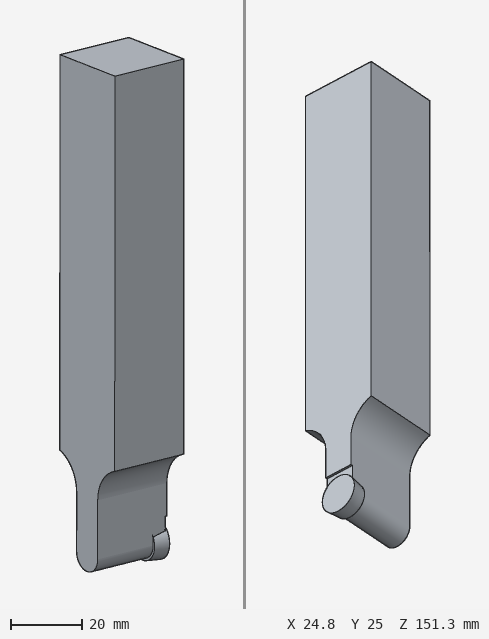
import cadquery as cq
import math

total_length = 151.3
shank_width = 24.8
shank_top_depth = shank_width
tip_depth = 25.0
rake_y = tip_depth / 2
bottom_z = -total_length / 2
top_z = total_length / 2

neck_width = 9.5
neck_half = neck_width / 2
shoulder_radius = 11.2
neck_straight_top_z = bottom_z + 23.6
shoulder_run = (shank_width - neck_width) / 2

insert_radius = 6.0
insert_thickness = 5.0
clearance_angle = 7.0
insert_center_z = bottom_z + insert_radius
insert_seat_radius = insert_radius - insert_thickness * math.tan(math.radians(clearance_angle))

tip_setback = 1.4
tip_z = bottom_z + tip_setback
tip_center_z = tip_z + neck_half

relief_depth = 0.6
relief_height = 13.9


def make_insert():
    """Tapered disc with its large face flush with the rake face."""
    profile = [
        (0, 0),
        (insert_radius, 0),
        (insert_seat_radius, -insert_thickness),
        (0, -insert_thickness),
    ]
    disc = cq.Workplane("XY").polyline(profile).close().revolve(360, (0, 0, 0), (0, 1, 0))
    return disc.translate((0, rake_y, insert_center_z))


def make_holder_blank():
    """Square shank running through concave shoulders into a round-ended neck."""
    half_width = shank_width / 2
    sweep = math.acos(1 - shoulder_run / shoulder_radius)
    shoulder_top_z = neck_straight_top_z + shoulder_radius * math.sin(sweep)
    shoulder_mid_x = neck_half + shoulder_radius * (1 - math.cos(sweep / 2))
    shoulder_mid_z = neck_straight_top_z + shoulder_radius * math.sin(sweep / 2)
    return (
        cq.Workplane("XZ")
        .moveTo(-half_width, top_z)
        .lineTo(half_width, top_z)
        .lineTo(half_width, shoulder_top_z)
        .threePointArc((shoulder_mid_x, shoulder_mid_z), (neck_half, neck_straight_top_z))
        .lineTo(neck_half, tip_center_z)
        .threePointArc((0, tip_z), (-neck_half, tip_center_z))
        .lineTo(-neck_half, neck_straight_top_z)
        .threePointArc((-shoulder_mid_x, shoulder_mid_z), (-half_width, shoulder_top_z))
        .close()
        .extrude(tip_depth / 2, both=True)
    )


def make_relief():
    """Cutter for the step across the neck, on the rake face."""
    return (
        cq.Workplane("XY")
        .box(shank_width, relief_depth, relief_height, centered=(True, False, False))
        .translate((0, rake_y - relief_depth, bottom_z))
    )


def make_back_taper():
    """Thin wedge that brings the -Y face in slightly toward the top of the shank."""
    back_y = -tip_depth / 2
    wedge = [
        (back_y, tip_z),
        (back_y, top_z),
        (rake_y - shank_top_depth, top_z),
    ]
    return cq.Workplane("YZ").polyline(wedge).close().extrude(shank_width / 2, both=True)


insert = make_insert()
holder = make_holder_blank().cut(make_back_taper()).cut(make_relief()).cut(insert)

result = cq.Compound.makeCompound([holder.val(), insert.val()])